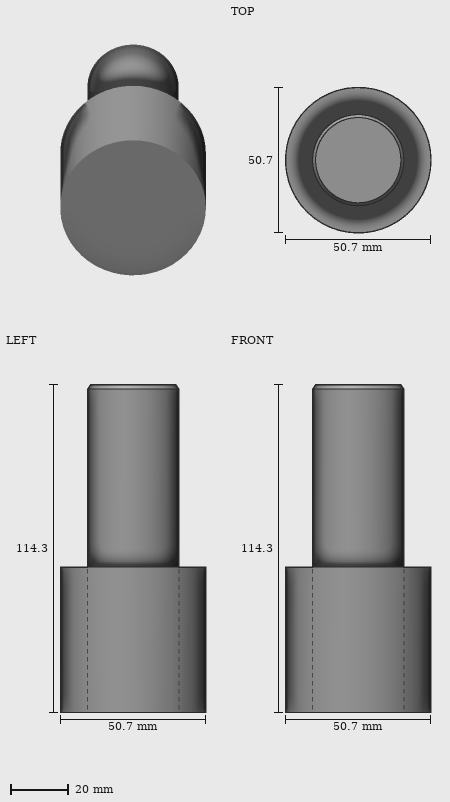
import cadquery as cq

pin_length = 114.3
pin_diameter = 31.8
tip_chamfer_height = 1.6
tip_chamfer_width = 1.0
sleeve_diameter = 50.7
sleeve_height = 50.7


def make_sleeve():
    """Thick sleeve with a through bore that fits the pin."""
    return (
        cq.Workplane("XY")
        .circle(sleeve_diameter / 2)
        .circle(pin_diameter / 2)
        .extrude(sleeve_height)
    )


def make_pin():
    """Round pin, flush with the bottom of the sleeve, with a steep chamfer at its top end."""
    radius = pin_diameter / 2
    tip_radius = radius - tip_chamfer_width
    half_profile = (
        cq.Workplane("XZ")
        .lineTo(radius, 0)
        .lineTo(radius, pin_length - tip_chamfer_height)
        .lineTo(tip_radius, pin_length)
        .lineTo(0, pin_length)
        .close()
    )
    return half_profile.revolve(360, (0, 0, 0), (0, 1, 0))


sleeve = make_sleeve()
pin = make_pin()

result = cq.Compound.makeCompound([sleeve.val(), pin.val()])